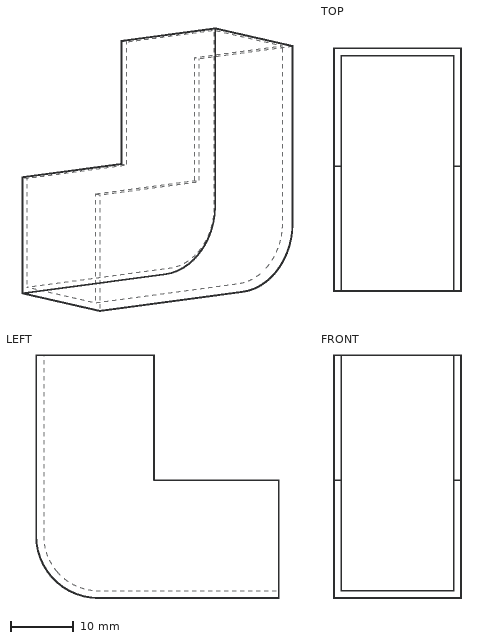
import cadquery as cq

channel_width = 18.0
wall = 1.2
leg_depth = 18.9
leg_length = 20.0
outer_radius = 10.0

outer_width = channel_width + 2 * wall
outer_size = leg_depth + leg_length
inner_radius = outer_radius - wall


def elbow_outside():
    """Solid L-shaped elbow with its outer corner rounded, centred on X."""
    return (
        cq.Workplane("YZ")
        .moveTo(-outer_radius, 0)
        .radiusArc((0, outer_radius), -outer_radius)
        .lineTo(0, outer_size)
        .lineTo(-leg_depth, outer_size)
        .lineTo(-leg_depth, leg_depth)
        .lineTo(-outer_size, leg_depth)
        .lineTo(-outer_size, 0)
        .close()
        .extrude(outer_width / 2, both=True)
    )


def channel_cavity():
    """Space between the side walls, open at both leg ends and on the inside of the bend."""
    return (
        cq.Workplane("YZ")
        .moveTo(-outer_radius, wall)
        .radiusArc((-wall, outer_radius), -inner_radius)
        .lineTo(-wall, outer_size)
        .lineTo(-outer_size, outer_size)
        .lineTo(-outer_size, wall)
        .close()
        .extrude(channel_width / 2, both=True)
    )


result = elbow_outside().cut(channel_cavity())